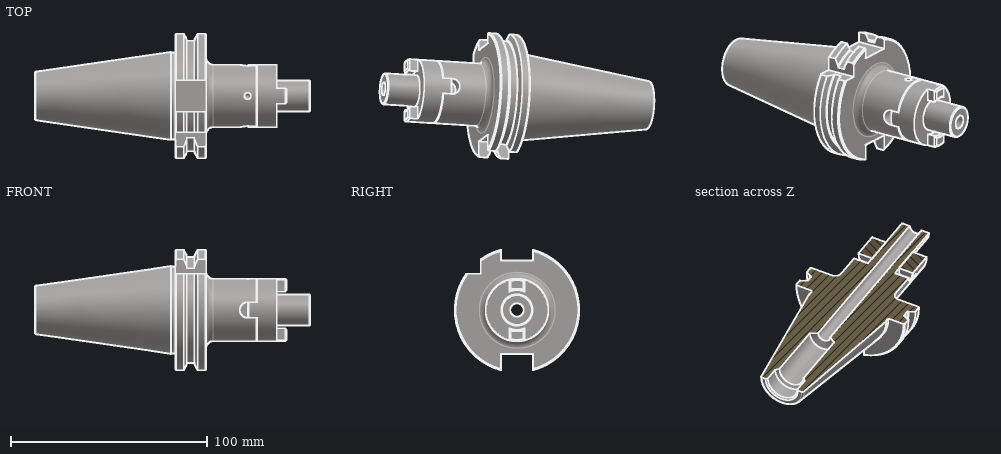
import cadquery as cq
import math


total_length = 140.4
taper_end_x = 69.2
flange_start_x = 71.6
flange_end_x = 87.5
ring_front_x = 123.4

taper_end_radius = 22.5
taper_ratio = 7 / 24
rear_radius = taper_end_radius - taper_end_x * taper_ratio / 2
rear_fillet = 1.0

relief_depth = 0.21
relief_entry_length = 0.4
relief_exit_length = 0.8
relief_radius = taper_end_radius - relief_depth

flange_radius = 31.8
flange_chamfer = 0.5
groove_center_x = 79.5
groove_mouth_width = 7.2
groove_floor_width = 3.8
groove_root_radius = 28.2
groove_wall_angle = 30.0
groove_wall_width = (groove_mouth_width - groove_floor_width) / 2
groove_wall_height = groove_wall_width / math.tan(math.radians(groove_wall_angle))

key_slot_width = 16.1
top_slot_floor = 25.3
bottom_slot_floor = 22.5
corner_notch_offset = 18.5

neck_radius = 16.0
neck_fillet = 3.4
pilot_radius = 8.0
pilot_chamfer = 0.4

ring_thickness = 10.4
ring_chamfer = 0.4
ring_back_x = ring_front_x - ring_thickness

key_width = 8.0
key_floor = pilot_radius
slot_center_x = 108.5
tab_start_x = 108.7

lug_length = 5.0
lug_inner_radius = 10.1
lug_chamfer = 0.8

drill_point_angle = 118.0

radial_hole_radius = 1.7
radial_hole_floor = 8.4

entry_radius = 8.5
entry_chamfer = 0.8
entry_depth = 8.5
step_length = 1.7
thread_radius = 7.0
thread_end_x = 42.1
through_radius = 3.4


def cylinder_x(radius, start_x, end_x):
    return cq.Workplane("YZ").workplane(offset=start_x).circle(radius).extrude(end_x - start_x)


def box_between(x_range, y_range, z_range):
    lengths = [high - low for low, high in (x_range, y_range, z_range)]
    corner = (x_range[0], y_range[0], z_range[0])
    return cq.Workplane("XY").box(*lengths, centered=False).translate(corner)


def revolve_x(profile):
    return profile.close().revolve(360, (0, 0, 0), (1, 0, 0))


def drill_point_height(radial_width):
    return radial_width / math.tan(math.radians(drill_point_angle / 2))


def turned_blank():
    """Taper, flange, neck and pilot as one turned shape."""
    groove_start_x = groove_center_x - groove_mouth_width / 2
    groove_end_x = groove_center_x + groove_mouth_width / 2
    floor_start_x = groove_center_x - groove_floor_width / 2
    floor_end_x = groove_center_x + groove_floor_width / 2
    groove_wall_radius = flange_radius - groove_wall_height
    profile = (
        cq.Workplane("XY")
        .moveTo(0, 0)
        .lineTo(0, rear_radius)
        .lineTo(taper_end_x, taper_end_radius)
        .lineTo(taper_end_x + relief_entry_length, relief_radius)
        .lineTo(flange_start_x - relief_exit_length, relief_radius)
        .lineTo(flange_start_x, taper_end_radius)
        .lineTo(flange_start_x, flange_radius - flange_chamfer)
        .lineTo(flange_start_x + flange_chamfer, flange_radius)
        .lineTo(groove_start_x, flange_radius)
        .lineTo(floor_start_x, groove_wall_radius)
        .lineTo(floor_start_x, groove_root_radius)
        .lineTo(floor_end_x, groove_root_radius)
        .lineTo(floor_end_x, groove_wall_radius)
        .lineTo(groove_end_x, flange_radius)
        .lineTo(flange_end_x - flange_chamfer, flange_radius)
        .lineTo(flange_end_x, flange_radius - flange_chamfer)
        .lineTo(flange_end_x, neck_radius + neck_fillet)
        .radiusArc((flange_end_x + neck_fillet, neck_radius), -neck_fillet)
        .lineTo(ring_back_x, neck_radius)
        .lineTo(ring_back_x, pilot_radius)
        .lineTo(total_length - pilot_chamfer, pilot_radius)
        .lineTo(total_length, pilot_radius - pilot_chamfer)
        .lineTo(total_length, 0)
    )
    return revolve_x(profile).faces("<X").edges().fillet(rear_fillet)


def axial_bore():
    """Chamfered entry, stepped bore, cone and through hole."""
    cone_end_x = thread_end_x + drill_point_height(thread_radius - through_radius)
    profile = (
        cq.Workplane("XY")
        .moveTo(0, 0)
        .lineTo(0, entry_radius + entry_chamfer)
        .lineTo(entry_chamfer, entry_radius)
        .lineTo(entry_depth, entry_radius)
        .lineTo(entry_depth + step_length, thread_radius)
        .lineTo(thread_end_x, thread_radius)
        .lineTo(cone_end_x, through_radius)
        .lineTo(total_length, through_radius)
        .lineTo(total_length, 0)
    )
    return revolve_x(profile)


def flange_notches():
    """Top and bottom key slots and the corner notch at -Y, +Z."""
    flange_x = (flange_start_x, flange_end_x)
    half_width = key_slot_width / 2
    slot_y = (-half_width, half_width)
    top_slot = box_between(flange_x, slot_y, (top_slot_floor, flange_radius))
    bottom_slot = box_between(flange_x, slot_y, (-flange_radius, -bottom_slot_floor))
    corner_notch = box_between(
        flange_x, (-flange_radius, -corner_notch_offset), (corner_notch_offset, flange_radius)
    )
    return top_slot.union(bottom_slot).union(corner_notch)


def tab_slot(side):
    """Round-ended slot in the neck; side is -1 for -Y and +1 for +Y."""
    depth = neck_radius - key_floor
    straight = box_between(
        (slot_center_x, ring_back_x), (key_floor, neck_radius), (-key_width / 2, key_width / 2)
    )
    round_end = (
        cq.Workplane("XZ", origin=(slot_center_x, neck_radius, 0))
        .circle(key_width / 2)
        .extrude(depth)
    )
    slot = straight.union(round_end)
    return slot if side > 0 else slot.mirror("XZ")


def radial_hole():
    """Blind hole from +Z with a drill-point bottom."""
    point_height = drill_point_height(radial_hole_radius)
    return (
        cq.Workplane("XZ", origin=(slot_center_x, 0, 0))
        .moveTo(0, radial_hole_floor - point_height)
        .lineTo(radial_hole_radius, radial_hole_floor)
        .lineTo(radial_hole_radius, neck_radius)
        .lineTo(0, neck_radius)
        .close()
        .revolve(360, (0, 0, 0), (0, 1, 0))
    )


def make_arbor():
    arbor = turned_blank().cut(axial_bore()).cut(flange_notches()).cut(radial_hole())
    for side in (-1, 1):
        arbor = arbor.cut(tab_slot(side))
    return arbor


def ring_tab(side):
    """Tab at the ring back that fills the neck slot; side is -1 for -Y and +1 for +Y."""
    block = box_between(
        (tab_start_x, ring_front_x), (key_floor, neck_radius), (-key_width / 2, key_width / 2)
    )
    tab_rod = cylinder_x(neck_radius, tab_start_x, ring_front_x).faces("<X").chamfer(ring_chamfer)
    tab = block.intersect(tab_rod)
    return tab if side > 0 else tab.mirror("XZ")


def driving_lug(side):
    """Lug on the ring front; side is -1 for -Z and +1 for +Z."""
    lug_end_x = ring_front_x + lug_length
    block = box_between(
        (ring_front_x, lug_end_x), (-key_width / 2, key_width / 2), (0, neck_radius)
    )
    lug = block.intersect(cylinder_x(neck_radius, ring_front_x, lug_end_x))
    lug = lug.cut(cylinder_x(lug_inner_radius, ring_front_x, lug_end_x))
    lug = lug.faces(">X").chamfer(lug_chamfer)
    return lug if side > 0 else lug.mirror("XY")


def make_driving_ring():
    ring = cylinder_x(neck_radius, ring_back_x, ring_front_x).faces("<X").chamfer(ring_chamfer)
    ring = ring.cut(cylinder_x(pilot_radius, ring_back_x, ring_front_x))
    for side in (-1, 1):
        ring = ring.union(ring_tab(side)).union(driving_lug(side))
    return ring


arbor = make_arbor()
driving_ring = make_driving_ring()

result = cq.Compound.makeCompound([arbor.solids().val(), driving_ring.solids().val()])